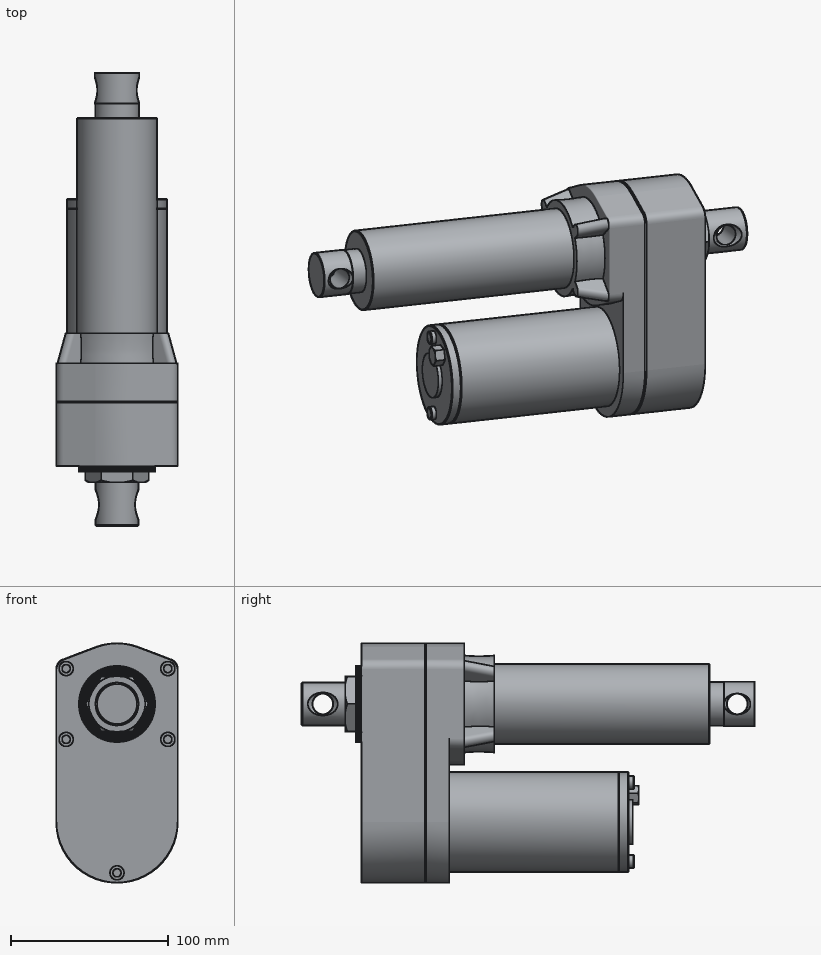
import math
import cadquery as cq


box_width = 77.0
motor_axis_z = -74.8
box_depth = 55.8
boss_depth = 65.3
roof_flank_angle = 20.8
shoulder_radius = 6.5
edge_fillet = 0.5
seam_y = 40.5
seam_width = 1.2
seam_depth = 0.3
half_width = box_width / 2

screw_x = 32.2
screw_z = 22.5
low_screw_z = -107.0
screw_bore_diameter = 9.0
screw_bore_depth = 1.0
screw_socket_diameter = 5.2
screw_socket_depth = 3.0

washer_diameter = 48.3
washer_base = 1.2
washer_thickness = 3.5
tooth_count = 90
tooth_gap_width = 1.0
tooth_inner_radius = 17.5
nut_across_flats = 35.0
nut_front = 10.4
nut_chamfer_diameter = 35.6

pin_diameter = 27.3
pin_tip_diameter = 25.3
pin_length = 38.2
pin_hole_y = -24.5
pin_hole_sink_diameter = 19.0

collar_diameter = 61.5
collar_end = 84.2
collar_waist_depth = 0.43
rib_width = 7.5
rib_reach_at_box = 45.0
rib_reach_at_collar = 38.8

tube_diameter = 51.0
tube_end = 220.5
tube_chamfer = 0.5

motor_diameter = 63.5
motor_end = 169.3
motor_chamfer = 0.5
motor_groove_diameter = 63.0
motor_groove_y = 163.0
motor_groove_width = 1.0
motor_screw_diameter = 8.3
motor_screw_height = 3.5
motor_screw_chamfer = 0.5
motor_screw_offset = 25.0
bearing_cap_diameter = 28.5
bearing_cap_height = 2.5
terminal_across_flats = 11.2
terminal_chamfer_diameter = 11.5
terminal_height = 6.3
terminal_turn = 12.0
terminal_x = -13.2
terminal_z = -57.8

rod_end_diameter = 28.5
rod_neck_diameter = 28.0
rod_neck_end = 229.5
rod_chamfer = 0.43
rod_tip = 249.3
rod_hole_y = 238.0
rod_hole_sink_diameter = 16.7

cross_hole_diameter = 13.0
hexagon_chamfer_angle = 30.0


def facing_y(y, x=0.0, z=0.0):
    """Workplane at the given point whose normal is +Y; its local axes are X and -Z."""
    return cq.Workplane(cq.Plane(origin=(x, y, z), xDir=(1, 0, 0), normal=(0, 1, 0)))


def cylinder(diameter, y_start, y_end, x=0.0, z=0.0):
    return facing_y(y_start, x, z).circle(diameter / 2).extrude(y_end - y_start)


def roof_points():
    """Right-hand (X, Z) points of the roof: arc end, shoulder start, shoulder middle, shoulder end."""
    angle = math.radians(roof_flank_angle)
    slope = math.tan(angle)
    arc_end = (half_width * math.sin(angle), half_width * math.cos(angle))
    shoulder_x = half_width - shoulder_radius
    flank_at_centre = arc_end[1] - slope * (shoulder_x - arc_end[0])
    shoulder_z = flank_at_centre - shoulder_radius / math.cos(angle)

    def on_shoulder(direction):
        return (
            shoulder_x + shoulder_radius * math.cos(direction),
            shoulder_z + shoulder_radius * math.sin(direction),
        )

    start_direction = math.pi / 2 - angle
    return arc_end, on_shoulder(start_direction), on_shoulder(start_direction / 2), on_shoulder(0)


def mirrored_x(point):
    return (-point[0], point[1])


def mirrored_z(point):
    return (point[0], -point[1])


def roof_outline():
    """Open outline over the roof, from the left wall to the right wall."""
    arc_end, start, middle, end = roof_points()
    return (
        cq.Workplane("XZ")
        .moveTo(*mirrored_x(end))
        .threePointArc(mirrored_x(middle), mirrored_x(start))
        .lineTo(*mirrored_x(arc_end))
        .threePointArc((0, half_width), arc_end)
        .lineTo(*start)
        .threePointArc(middle, end)
    )


def gearbox_outline():
    return (
        roof_outline()
        .lineTo(half_width, motor_axis_z)
        .threePointArc((0, motor_axis_z - half_width), (-half_width, motor_axis_z))
        .close()
    )


def boss_block():
    """Rear boss around the screw axis; its underside mirrors the roof."""
    arc_end, start, middle, end = roof_points()
    return (
        roof_outline()
        .lineTo(*mirrored_z(end))
        .threePointArc(mirrored_z(middle), mirrored_z(start))
        .lineTo(*mirrored_z(arc_end))
        .threePointArc((0, -half_width), mirrored_x(mirrored_z(arc_end)))
        .lineTo(*mirrored_x(mirrored_z(start)))
        .threePointArc(mirrored_x(mirrored_z(middle)), mirrored_x(mirrored_z(end)))
        .close()
        .extrude(-boss_depth)
    )


def slab_between(y_start, y_end):
    """Slab square to Y that is larger than the gearbox outline."""
    size = 8 * box_width
    return facing_y(y_start).rect(size, size).extrude(y_end - y_start)


def seam_groove():
    """Shallow groove all around the gearbox where its cover meets its case."""
    core = gearbox_outline().offset2D(-seam_depth).extrude(-box_depth)
    return slab_between(seam_y - seam_width / 2, seam_y + seam_width / 2).cut(core)


def cover_screw_cut(x, z):
    """Round recess over a cover screw, with the socket in the screw head."""
    recess = cylinder(screw_bore_diameter, 0, screw_bore_depth, x, z)
    socket = cylinder(screw_socket_diameter, 0, screw_bore_depth + screw_socket_depth, x, z)
    return recess.union(socket)


def gearbox():
    case = gearbox_outline().extrude(-box_depth).faces("<Y").edges().fillet(edge_fillet)
    boss = boss_block().intersect(slab_between(box_depth, boss_depth)).faces(">Y").edges().fillet(edge_fillet)
    body = case.union(boss).cut(seam_groove())
    spots = [(side * screw_x, level * screw_z) for side in (-1, 1) for level in (-1, 1)]
    spots.append((0, low_screw_z))
    for x, z in spots:
        body = body.cut(cover_screw_cut(x, z))
    return body


def toothed_washer():
    washer = cylinder(washer_diameter, -washer_thickness, 0)
    gap_length = washer_diameter / 2 - tooth_inner_radius + tooth_gap_width
    gap_depth = washer_thickness - washer_base
    gap = (
        cq.Workplane("XY")
        .box(gap_length, gap_depth, tooth_gap_width)
        .translate((tooth_inner_radius + gap_length / 2, -washer_base - gap_depth / 2, 0))
    )
    for i in range(tooth_count):
        washer = washer.cut(gap.rotate((0, 0, 0), (0, 1, 0), i * 360 / tooth_count))
    return washer


def hexagon(across_flats, chamfer_diameter, height):
    """Hexagon standing on Y = 0 with corners on the X axis; a cone trims its corners at the +Y end."""
    across_corners = across_flats / math.cos(math.pi / 6)
    trim = (across_corners - chamfer_diameter) / 2
    drop = trim * math.tan(math.radians(hexagon_chamfer_angle))
    envelope = cylinder(across_corners, 0, height).faces(">Y").chamfer(drop, trim)
    return facing_y(0).polygon(6, across_corners).extrude(height).intersect(envelope)


def nut():
    block = hexagon(nut_across_flats, nut_chamfer_diameter, nut_front - washer_thickness)
    return block.rotate((0, 0, 0), (1, 0, 0), 180).translate((0, -washer_thickness, 0))


def cross_hole(y, shaft_diameter, sink_diameter):
    """Hole along X through a shaft, with a 45 degree countersink at both ends."""
    reach = shaft_diameter / 2
    hole_radius = cross_hole_diameter / 2
    sink_radius = sink_diameter / 2
    sink_start = reach - (sink_radius - hole_radius)
    return (
        cq.Workplane("XY")
        .moveTo(-reach, 0)
        .lineTo(-reach, sink_radius)
        .lineTo(-sink_start, hole_radius)
        .lineTo(sink_start, hole_radius)
        .lineTo(reach, sink_radius)
        .lineTo(reach, 0)
        .close()
        .revolve(360, (0, 0, 0), (1, 0, 0))
        .translate((0, y, 0))
    )


def mounting_pin():
    pin = cylinder(pin_diameter, -pin_length, -nut_front)
    pin = pin.faces("<Y").chamfer((pin_diameter - pin_tip_diameter) / 2)
    return pin.cut(cross_hole(pin_hole_y, pin_diameter, pin_hole_sink_diameter))


def collar():
    """Round collar whose side is slightly hollowed between its two ends."""
    radius = collar_diameter / 2
    middle = (boss_depth + collar_end) / 2
    return (
        cq.Workplane("XY")
        .moveTo(0, boss_depth)
        .lineTo(radius, boss_depth)
        .threePointArc((radius - collar_waist_depth, middle), (radius, collar_end))
        .lineTo(0, collar_end)
        .close()
        .revolve(360, (0, 0, 0), (0, 1, 0))
    )


def rib(angle):
    """Radial rib with a rounded tip that tapers from the boss to the rear of the collar."""

    def section(workplane, reach):
        inner_centre = tube_diameter / 4
        outer_centre = reach - rib_width / 2
        length = outer_centre - inner_centre + rib_width
        return workplane.center((inner_centre + outer_centre) / 2, 0).slot2D(length, rib_width)

    at_box = section(facing_y(boss_depth), rib_reach_at_box).val()
    at_collar = section(facing_y(collar_end), rib_reach_at_collar).val()
    loft = cq.Solid.makeLoft([at_box, at_collar], True)
    return cq.Workplane(loft).rotate((0, 0, 0), (0, 1, 0), angle)


def collar_with_ribs():
    body = collar()
    rib_angle = math.degrees(math.atan2(screw_z, screw_x))
    for angle in (rib_angle, -rib_angle, 180 - rib_angle, 180 + rib_angle):
        body = body.union(rib(angle))
    return body


def outer_tube():
    return cylinder(tube_diameter, collar_end, tube_end).faces(">Y").chamfer(tube_chamfer)


def motor():
    body = cylinder(motor_diameter, box_depth, motor_end, z=motor_axis_z).faces(">Y").chamfer(motor_chamfer)
    groove_start = motor_groove_y - motor_groove_width / 2
    groove_end = motor_groove_y + motor_groove_width / 2
    groove = cylinder(motor_diameter, groove_start, groove_end, z=motor_axis_z).cut(
        cylinder(motor_groove_diameter, groove_start, groove_end, z=motor_axis_z)
    )
    body = body.cut(groove)
    for side in (-1, 1):
        screw = cylinder(
            motor_screw_diameter, motor_end, motor_end + motor_screw_height,
            z=motor_axis_z + side * motor_screw_offset,
        )
        body = body.union(screw.faces(">Y").chamfer(motor_screw_chamfer))
    bearing_cap = cylinder(bearing_cap_diameter, motor_end, motor_end + bearing_cap_height, z=motor_axis_z)
    return body.union(bearing_cap).union(motor_terminal())


def motor_terminal():
    block = hexagon(terminal_across_flats, terminal_chamfer_diameter, terminal_height)
    turned = block.rotate((0, 0, 0), (0, 1, 0), -terminal_turn)
    return turned.translate((terminal_x, motor_end, terminal_z))


def actuator_housing():
    body = gearbox()
    for piece in (toothed_washer(), nut(), mounting_pin(), collar_with_ribs(), outer_tube(), motor()):
        body = body.union(piece)
    return body


def extending_rod():
    """Rod that stands on the end of the outer tube and carries the cross hole at its tip."""
    neck = cylinder(rod_neck_diameter, tube_end, rod_neck_end)
    rod_end = cylinder(rod_end_diameter, rod_neck_end, rod_tip).faces("<Y or >Y").chamfer(rod_chamfer)
    return neck.union(rod_end).cut(cross_hole(rod_hole_y, rod_end_diameter, rod_hole_sink_diameter))


housing = actuator_housing()
rod = extending_rod()
result = cq.Compound.makeCompound([housing.val(), rod.val()])